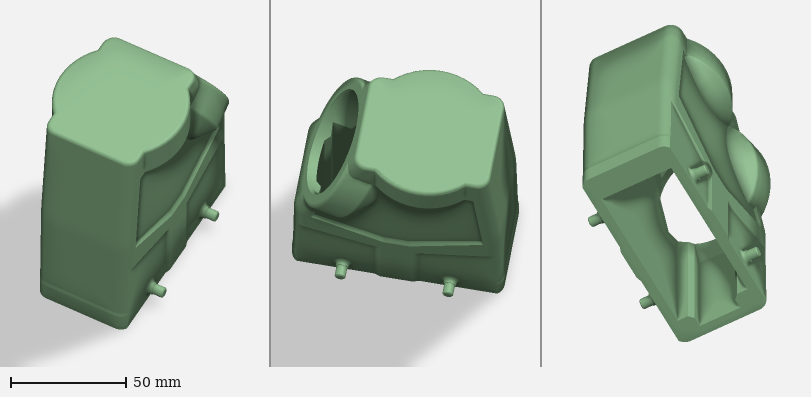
import cadquery as cq
import math

height = 110.2
base_length = 93.5
body_width = 44.9
skirt_height = 9.0
skirt_bevel_top = 10.9
skirt_bevel = 0.3
shoulder_height = 56.2
shoulder_inset = 1.2
top_front_y = -40.2
slope_foot_y = 45.8
slope_angle = 25.6
slope_distance = 64.7
corner_radius = 5.5
rim_radius = 1.7
front_bend_length = 4.0
slope_bend_length = 2.2

boss_radius = 30.0
boss_cone_angle = 42.0
top_boss_depth = 14.9
entry_boss_depth = 14.1
boss_length = 48.5
top_boss_y = -10.4
entry_boss_rise = 60.9
bore_diameter = 48.4
bore_depth = 14.0

cavity_width = 34.2
cavity_half_length = 35.0
roof_thickness = 4.6
notch_reach = 41.9
notch_width = 24.2
notch_inner_width = 19.8
notch_bevel = 2.2

panel_depth = 1.3
panel_corner_radius = 1.7
pad_depth = 0.9
pad_bevel = 2.5
pad_top_bevel = 1.4

pin_diameter = 4.7
pin_collar_diameter = 5.5
pin_flare_diameter = 9.0
pin_tip_x = 28.8
pin_collar_x = 23.9
pin_y = 23.7
pin_z = 6.2
pin_chamfer = 0.4

half_length = base_length / 2
half_width = body_width / 2
slope_sin = math.sin(math.radians(slope_angle))
slope_cos = math.cos(math.radians(slope_angle))


def slope_z(y, inset=0.0):
    """Height of the entry face, moved inward by inset, at a given y."""
    return (slope_distance - inset - slope_cos * y) / slope_sin


def slope_y(z, inset=0.0):
    """Y of the entry face, moved inward by inset, at a given height."""
    return (slope_distance - inset - slope_sin * z) / slope_cos


def side_profile(points, width):
    """Extrude a (y, z) outline symmetrically about the X = 0 plane."""
    start = cq.Workplane("YZ", origin=(-width / 2, 0, 0))
    return start.polyline(points).close().extrude(width)


def point_toward(start, end, distance):
    step = distance / math.dist(start, end)
    return tuple(a + (b - a) * step for a, b in zip(start, end))


def line_with_bend(outline, previous, corner, following, bend_length):
    """Continue an outline towards a corner and round it with a tangent arc."""
    entry = point_toward(corner, previous, bend_length)
    leave = point_toward(corner, following, bend_length)
    chord_middle = tuple((a + b) / 2 for a, b in zip(entry, leave))
    half_chord = math.dist(entry, chord_middle)
    corner_height = math.dist(corner, chord_middle)
    sagitta = half_chord * (bend_length - half_chord) / corner_height
    middle = point_toward(chord_middle, corner, sagitta)
    return outline.lineTo(*entry).threePointArc(middle, leave)


def make_body():
    """Solid hood outline with rounded upright corners."""
    front_skirt = (-half_length + skirt_bevel, skirt_bevel_top)
    shoulder = (-half_length + shoulder_inset, shoulder_height)
    front_top = (top_front_y, height)
    slope_top = (slope_y(height), height)
    slope_foot = (slope_foot_y, slope_z(slope_foot_y))
    rear_skirt = (half_length - skirt_bevel, skirt_bevel_top)

    outline = cq.Workplane("YZ", origin=(-half_width, 0, 0)).moveTo(-half_length, 0)
    outline = outline.lineTo(half_length, 0).lineTo(half_length, skirt_height).lineTo(*rear_skirt)
    outline = line_with_bend(outline, rear_skirt, slope_foot, slope_top, slope_bend_length)
    outline = outline.lineTo(*slope_top).lineTo(*front_top)
    outline = line_with_bend(outline, front_top, shoulder, front_skirt, front_bend_length)
    outline = outline.lineTo(*front_skirt).lineTo(-half_length, skirt_height)
    body = outline.close().extrude(body_width)
    return body.faces("|X").edges("not |Y").fillet(corner_radius)


def beveled_pocket(side, rim, floor, depth):
    """Pocket in one side wall, with walls sloping from the rim to the floor outline."""
    return (
        cq.Workplane("YZ", origin=(side * half_width, 0, 0))
        .polyline(rim)
        .close()
        .workplane(offset=-side * depth)
        .polyline(floor)
        .close()
        .loft(ruled=True)
    )


def upper_panel(side):
    """Shallow relief below the bosses, with three rounded corners."""
    rim = [(38.1, 50.8), (5.7, 36.5), (-5.7, 36.5), (-38.1, 50.8), (-33.8, 95.1), (16.9, 95.1)]
    floor = [(37.5, 51.7), (5.4, 39.1), (-5.4, 39.1), (-37.5, 51.7), (-33.3, 94.4), (16.2, 94.4)]
    panel = beveled_pocket(side, rim, floor, panel_depth)
    for corner in (rim[0], rim[3], rim[4]):
        near_corner = cq.selectors.NearestToPointSelector((side * half_width, *corner))
        panel = panel.edges("not #X").edges(near_corner).fillet(panel_corner_radius)
    return panel


def lower_pad(side, end):
    """Recess around one pin, open at the bottom and through the upright corner."""
    inner_y = 7.3
    outer_y = 48.5
    inner_top = 30.0
    outer_top = 41.5
    floor_y = inner_y + pad_bevel
    floor_top = inner_top - pad_top_bevel
    rim = [(inner_y, 0), (inner_y, inner_top), (outer_y, outer_top), (outer_y, 0)]
    floor = [(floor_y, 0), (floor_y, floor_top), (outer_y, outer_top), (outer_y, 0)]
    rim = [(end * y, z) for y, z in rim]
    floor = [(end * y, z) for y, z in floor]
    return beveled_pocket(side, rim, floor, pad_depth)


def make_boss(depth):
    """Disc with its face at Z = 0, rounded edges and a conical underside, trimmed in length."""
    cone_radius = boss_radius / 2
    cone_z = -depth - (boss_radius - cone_radius) / math.tan(math.radians(boss_cone_angle))
    disc = (
        cq.Workplane("XZ")
        .lineTo(boss_radius, 0)
        .lineTo(boss_radius, -depth)
        .lineTo(cone_radius, cone_z)
        .lineTo(0, cone_z)
        .close()
        .revolve(360, (0, 0, 0), (0, 1, 0))
    )
    disc = disc.edges(cq.selectors.RadiusNthSelector(-1)).fillet(rim_radius)
    return disc.intersect(cq.Workplane("XY").box(3 * boss_radius, boss_length, 3 * boss_radius))


def on_entry_face(shape):
    """Move a shape built below Z = 0 onto the entry face, its axis along the face normal."""
    y = slope_distance * slope_cos - entry_boss_rise * slope_sin
    z = slope_distance * slope_sin + entry_boss_rise * slope_cos
    return shape.rotate((0, 0, 0), (1, 0, 0), slope_angle - 90).translate((0, y, z))


def cavity_section(reach):
    """Cavity outline in (y, z), with its +Y wall at the given reach."""
    roof = height - roof_thickness
    return [
        (-cavity_half_length, 0),
        (reach, 0),
        (reach, slope_z(reach, roof_thickness)),
        (slope_y(roof, roof_thickness), roof),
        (-cavity_half_length, roof),
    ]


def make_cavity():
    """Cavity open at the bottom, with a bevelled notch in its +Y wall."""
    notch_step_y = cavity_half_length + notch_bevel
    notch_plan = (
        cq.Workplane("XY")
        .polyline(
            [
                (-notch_width / 2, 0),
                (-notch_width / 2, cavity_half_length),
                (-notch_inner_width / 2, notch_step_y),
                (-notch_inner_width / 2, notch_reach),
                (notch_inner_width / 2, notch_reach),
                (notch_inner_width / 2, notch_step_y),
                (notch_width / 2, cavity_half_length),
                (notch_width / 2, 0),
            ]
        )
        .close()
        .extrude(height)
    )
    notch = side_profile(cavity_section(notch_reach), cavity_width).intersect(notch_plan)
    return side_profile(cavity_section(cavity_half_length), cavity_width).union(notch)


def make_pin(side, y):
    """Stepped pin with a concave flare at its root."""
    root_x = half_width - pad_depth
    buried_x = root_x - pad_depth
    flare = (pin_flare_diameter - pin_collar_diameter) / 2
    sag = flare * (1 - math.sqrt(0.5))
    collar_radius = pin_collar_diameter / 2
    pin_radius = pin_diameter / 2
    pin = (
        cq.Workplane("XY")
        .moveTo(buried_x, 0)
        .lineTo(buried_x, pin_flare_diameter / 2)
        .lineTo(root_x, pin_flare_diameter / 2)
        .threePointArc((root_x + sag, collar_radius + sag), (root_x + flare, collar_radius))
        .lineTo(pin_collar_x, collar_radius)
        .lineTo(pin_collar_x, pin_radius)
        .lineTo(pin_tip_x - pin_chamfer, pin_radius)
        .lineTo(pin_tip_x, pin_radius - pin_chamfer)
        .lineTo(pin_tip_x, 0)
        .close()
        .revolve(360, (0, 0, 0), (1, 0, 0))
    )
    if side < 0:
        pin = pin.mirror("YZ")
    return pin.translate((0, y, pin_z))


shell = make_body().faces(">Z").edges().fillet(rim_radius)
for side in (-1, 1):
    shell = shell.cut(upper_panel(side))
    for end in (-1, 1):
        shell = shell.cut(lower_pad(side, end))

shell = shell.union(make_boss(top_boss_depth).translate((0, top_boss_y, height)))
shell = shell.union(on_entry_face(make_boss(entry_boss_depth)))

bore = cq.Workplane("XY").circle(bore_diameter / 2).extrude(-bore_depth)
shell = shell.cut(on_entry_face(bore)).cut(make_cavity())

for side in (-1, 1):
    for y in (-pin_y, pin_y):
        shell = shell.union(make_pin(side, y))

result = shell